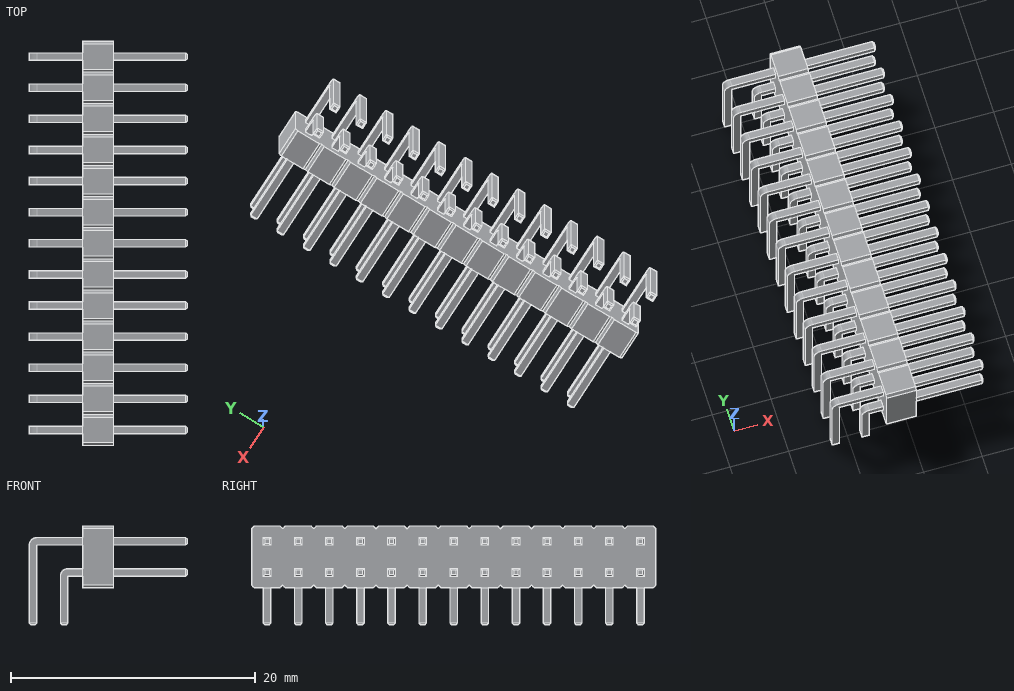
import cadquery as cq


TOTAL_X = 12.9
TOTAL_Y = 33.02
TOTAL_Z = 8.1

COLUMNS = 13
ROWS = 2
PITCH = TOTAL_Y / COLUMNS

BODY_WIDTH = PITCH
BODY_HEIGHT = ROWS * PITCH
BODY_LEFT = 4.35
BODY_BOTTOM = TOTAL_Z - BODY_HEIGHT
CELL_CHAMFER = 0.23

PIN_SIZE = 0.63
BEND_RADIUS = PIN_SIZE
TIP_CHAMFER = 0.13


def body_cell(center_y):
    """One column of the body, chamfered along its four X edges."""
    return (
        cq.Workplane("XY")
        .box(BODY_WIDTH, PITCH, BODY_HEIGHT, centered=(False, True, False))
        .edges("|X")
        .chamfer(CELL_CHAMFER)
        .translate((BODY_LEFT, center_y, BODY_BOTTOM))
    )


def bent_pin(row, center_y):
    """L-shaped pin; row 0 is the upper, outer row and each later row nests inside it."""
    tail_x = row * PITCH
    top_z = TOTAL_Z - (row + 0.5) * PITCH + PIN_SIZE / 2
    inner_x = tail_x + PIN_SIZE
    inner_z = top_z - PIN_SIZE
    return (
        cq.Workplane("XZ")
        .moveTo(tail_x, 0)
        .lineTo(tail_x, top_z - BEND_RADIUS)
        .radiusArc((tail_x + BEND_RADIUS, top_z), BEND_RADIUS)
        .lineTo(TOTAL_X, top_z)
        .lineTo(TOTAL_X, inner_z)
        .lineTo(inner_x, inner_z)
        .lineTo(inner_x, 0)
        .close()
        .extrude(PIN_SIZE / 2, both=True)
        .faces("<Z or >X")
        .chamfer(TIP_CHAMFER)
        .translate((0, center_y, 0))
    )


column_centers = [(column + 0.5) * PITCH for column in range(COLUMNS)]

result = body_cell(column_centers[0])
for center_y in column_centers[1:]:
    result = result.union(body_cell(center_y))

for center_y in column_centers:
    for row in range(ROWS):
        result = result.union(bent_pin(row, center_y))